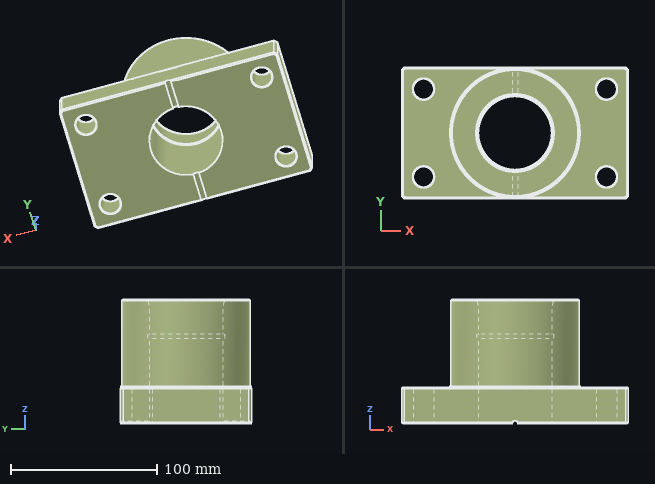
import cadquery as cq

PLATE_LENGTH = 155.0
PLATE_WIDTH = 90.0
PLATE_THICKNESS = 25.0
CORNER_CHAMFER = 2.0
PLATE_EDGE_CHAMFER = 1.0

TOTAL_HEIGHT = 85.0
HUB_DIAMETER = 88.0
HUB_RIM_CHAMFER = 1.0
COLLAR_DIAMETER = 89.0
COLLAR_HEIGHT = 0.5

BORE_DIAMETER = 50.0
MOUTH_DIAMETER = 52.5
MOUTH_DEPTH = 5.0
MOUTH_CHAMFER = 0.5
RING_GROOVE_RADIUS = 1.5
RING_GROOVE_DEPTH_BELOW_TOP = 25.0

HOLE_DIAMETER = 14.0
HOLE_SPACING_X = 125.0
HOLE_SPACING_Y = 60.0
HOLE_CHAMFER = 0.5

UNDERSIDE_GROOVE_RADIUS = 2.0


def make_plate():
    """Flange plate with bevelled corners and edges, standing on Z = 0."""
    plate = cq.Workplane("XY").box(PLATE_LENGTH, PLATE_WIDTH, PLATE_THICKNESS, centered=(True, True, False))
    plate = plate.edges("|Z").chamfer(CORNER_CHAMFER)
    return plate.faces("<Z or >Z").edges().chamfer(PLATE_EDGE_CHAMFER)


def make_hub():
    """Hub with a bevelled top rim and a thin collar where it meets the plate."""
    hub = cq.Workplane("XY").circle(HUB_DIAMETER / 2).extrude(TOTAL_HEIGHT)
    hub = hub.faces(">Z").edges().chamfer(HUB_RIM_CHAMFER)
    collar = cq.Workplane("XY").circle(COLLAR_DIAMETER / 2).extrude(PLATE_THICKNESS + COLLAR_HEIGHT)
    return hub.union(collar)


def make_bore():
    """Cutter for the bore, turned from its half profile about the Z axis."""
    bore_radius = BORE_DIAMETER / 2
    mouth_radius = MOUTH_DIAMETER / 2
    groove_height = TOTAL_HEIGHT - RING_GROOVE_DEPTH_BELOW_TOP
    profile = (
        cq.Workplane("XZ")
        .lineTo(bore_radius, 0)
        .lineTo(bore_radius, groove_height - RING_GROOVE_RADIUS)
        .threePointArc(
            (bore_radius + RING_GROOVE_RADIUS, groove_height),
            (bore_radius, groove_height + RING_GROOVE_RADIUS),
        )
        .lineTo(bore_radius, TOTAL_HEIGHT - MOUTH_DEPTH)
        .lineTo(mouth_radius, TOTAL_HEIGHT - MOUTH_CHAMFER)
        .lineTo(mouth_radius + MOUTH_CHAMFER, TOTAL_HEIGHT)
        .lineTo(0, TOTAL_HEIGHT)
        .close()
    )
    return profile.revolve(360, (0, 0, 0), (0, 1, 0))


def make_mounting_holes():
    """Cutters for the four through holes, bevelled at both ends."""
    radius = HOLE_DIAMETER / 2
    mouth_radius = radius + HOLE_CHAMFER
    profile = [
        (0, 0),
        (mouth_radius, 0),
        (radius, HOLE_CHAMFER),
        (radius, PLATE_THICKNESS - HOLE_CHAMFER),
        (mouth_radius, PLATE_THICKNESS),
        (0, PLATE_THICKNESS),
    ]
    hole = cq.Workplane("XZ").polyline(profile).close().revolve(360, (0, 0, 0), (0, 1, 0)).val()
    centres = cq.Workplane("XY").rarray(HOLE_SPACING_X, HOLE_SPACING_Y, 2, 2)
    return centres.eachpoint(lambda location: hole.located(location))


def make_groove():
    """Cutter for the half-round groove along Y under the plate."""
    return cq.Workplane("XZ").circle(UNDERSIDE_GROOVE_RADIUS).extrude(PLATE_WIDTH / 2, both=True)


body = make_plate().union(make_hub())
result = body.cut(make_bore()).cut(make_mounting_holes()).cut(make_groove())